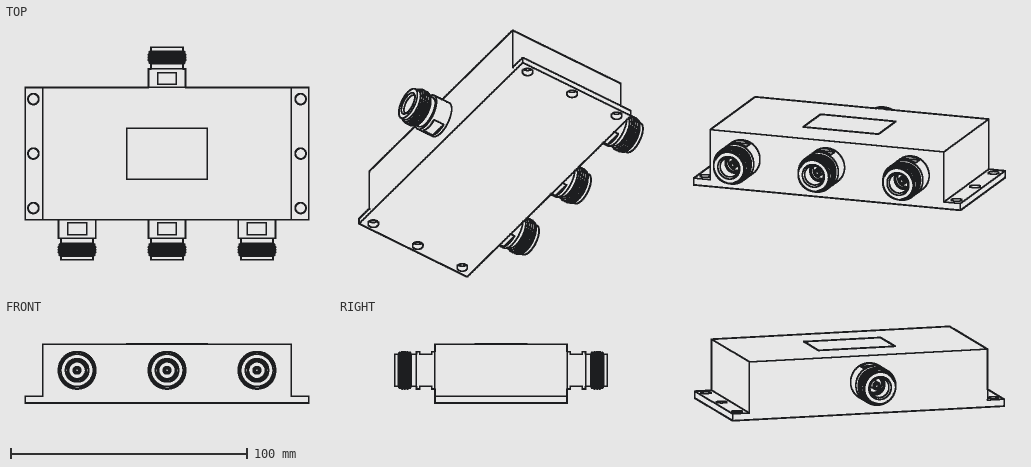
import cadquery as cq

overall_length = 120.0
overall_width = 90.0
overall_height = 25.1

body_length = 105.1
body_width = 56.0
base_thickness = 3.0
lid_thickness = 1.9

label_length = 33.8
label_width = 21.6
label_thickness = 0.1
lid_top = overall_height - label_thickness

hole_diameter = 4.5
hole_spacing_x = 113.0
hole_spacing_y = 23.0

connector_pitch = 38.0
connector_height = 13.9
connector_length = (overall_width - body_width) / 2
collar_radius = 7.9
collar_length = 7.8
barrel_radius = 6.8
flat_start = 1.3
flat_end = 6.2
flat_distance = barrel_radius

thread_start = 10.0
thread_pitch = 1.1
thread_ridges = 5
thread_crest_radius = collar_radius
thread_end_crest_radius = 7.5
thread_root_radius = 7.2
crest_width = 0.1

bore_radius = 4.2
bore_mouth_radius = 4.9
bore_mouth_depth = 0.8
bore_step_depth = 7.2
inner_bore_radius = 3.6
bore_depth = 9.6
contact_radius = 1.5
contact_hole_radius = 0.7
contact_length = 4.8
contact_chamfer = 0.4


def make_housing():
    """Box with side flanges, mounting holes and a label plate."""
    base = cq.Workplane("XY").box(
        overall_length, body_width, base_thickness, centered=(True, True, False)
    )
    base = (
        base.faces(">Z")
        .workplane()
        .rarray(hole_spacing_x, hole_spacing_y, 2, 3)
        .hole(hole_diameter)
    )
    body = cq.Workplane("XY").box(
        body_length, body_width, lid_top - lid_thickness, centered=(True, True, False)
    )
    lid = (
        cq.Workplane("XY")
        .workplane(offset=lid_top - lid_thickness)
        .box(body_length, body_width, lid_thickness, centered=(True, True, False))
    )
    label = (
        cq.Workplane("XY")
        .workplane(offset=lid_top)
        .box(label_length, label_width, label_thickness, centered=(True, True, False))
    )
    return base.union(body).union(lid, clean=False).union(label, clean=False)


def make_shell_profile():
    """Half section of the connector, radius along X and length along Y."""
    profile = (
        cq.Workplane("XY")
        .moveTo(0, 0)
        .lineTo(collar_radius, 0)
        .lineTo(collar_radius, collar_length)
        .lineTo(barrel_radius, collar_length)
        .lineTo(barrel_radius, thread_start)
    )
    thread_end = thread_start + thread_ridges * thread_pitch
    for ridge in range(thread_ridges):
        middle = thread_start + (ridge + 0.5) * thread_pitch
        at_end = ridge in (0, thread_ridges - 1)
        crest_radius = thread_end_crest_radius if at_end else thread_crest_radius
        profile = profile.lineTo(crest_radius, middle - crest_width / 2)
        profile = profile.lineTo(crest_radius, middle + crest_width / 2)
        if ridge < thread_ridges - 1:
            profile = profile.lineTo(thread_root_radius, middle + thread_pitch / 2)
    bore_floor = connector_length - bore_depth
    contact_end = bore_floor + contact_length
    return (
        profile.lineTo(barrel_radius, thread_end)
        .lineTo(barrel_radius, connector_length)
        .lineTo(bore_mouth_radius, connector_length)
        .lineTo(bore_radius, connector_length - bore_mouth_depth)
        .lineTo(bore_radius, connector_length - bore_step_depth)
        .lineTo(inner_bore_radius, connector_length - bore_step_depth)
        .lineTo(inner_bore_radius, bore_floor)
        .lineTo(contact_radius, bore_floor)
        .lineTo(contact_radius, contact_end - contact_chamfer)
        .lineTo(contact_radius - contact_chamfer, contact_end)
        .lineTo(contact_hole_radius, contact_end)
        .lineTo(contact_hole_radius, bore_floor)
        .lineTo(0, bore_floor)
        .close()
    )


def make_connector():
    """Connector pointing along +Y from the origin, with flats above and below."""
    connector = make_shell_profile().revolve(360, (0, 0, 0), (0, 1, 0))
    flat_depth = collar_radius - flat_distance
    for side in (1, -1):
        cutter = cq.Workplane("XY").box(
            2 * collar_radius, flat_end - flat_start, flat_depth
        )
        cutter = cutter.translate(
            (0, (flat_start + flat_end) / 2, side * (flat_distance + flat_depth / 2))
        )
        connector = connector.cut(cutter)
    return connector


result = make_housing()
connector = make_connector()

input_connector = connector.translate((0, body_width / 2, connector_height))
result = result.union(input_connector, clean=False)

output_connector = connector.rotate((0, 0, 0), (0, 0, 1), 180)
for position in (-1, 0, 1):
    place = (position * connector_pitch, -body_width / 2, connector_height)
    result = result.union(output_connector.translate(place), clean=False)